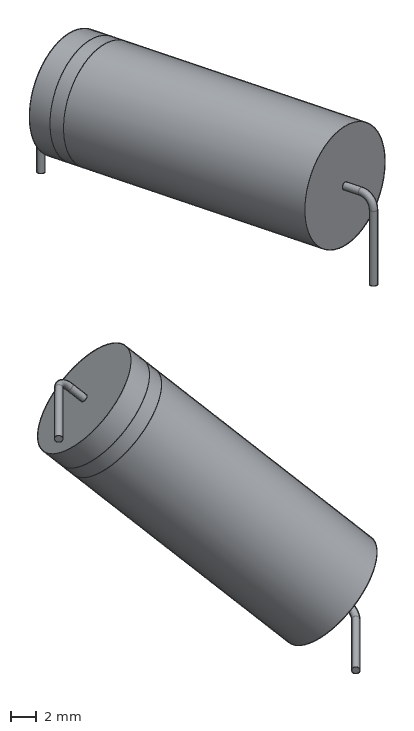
import cadquery as cq

span = 32.77
body_diameter = 10.32
body_length = 26.6
overall_height = 12.85

band_offset = 2.0
band_width = 1.3
band_depth = 0.15

lead_diameter = 0.65
bend_radius = 1.2

body_radius = body_diameter / 2
lead_radius = lead_diameter / 2
body_end = body_length / 2
lead_x = span / 2 - lead_radius
lead_bottom = body_radius - overall_height
band_start = band_offset - body_end


def make_band():
    """Thin ring around the body axis, flush with the body surface."""
    return (
        cq.Workplane("YZ", origin=(band_start, 0, 0))
        .circle(body_radius)
        .circle(body_radius - band_depth)
        .extrude(band_width)
    )


def make_body(band):
    """Cylinder along X with a groove that holds the band."""
    cylinder = cq.Workplane("YZ", origin=(-body_end, 0, 0)).circle(body_radius).extrude(body_length)
    return cylinder.cut(band)


def make_lead(side):
    """Round wire from an end face, bent down; side is -1 for the -X end and +1 for the +X end."""
    bend_start = side * (lead_x - bend_radius)
    path = (
        cq.Workplane("XZ")
        .moveTo(side * body_end, 0)
        .lineTo(bend_start, 0)
        .tangentArcPoint((side * lead_x, -bend_radius), relative=False)
        .lineTo(side * lead_x, lead_bottom)
    )
    return cq.Workplane("YZ", origin=(side * body_end, 0, 0)).circle(lead_radius).sweep(path)


band = make_band()
body = make_body(band)
leads = [make_lead(side) for side in (-1, 1)]

result = cq.Compound.makeCompound([body.val(), band.val(), *[lead.val() for lead in leads]])